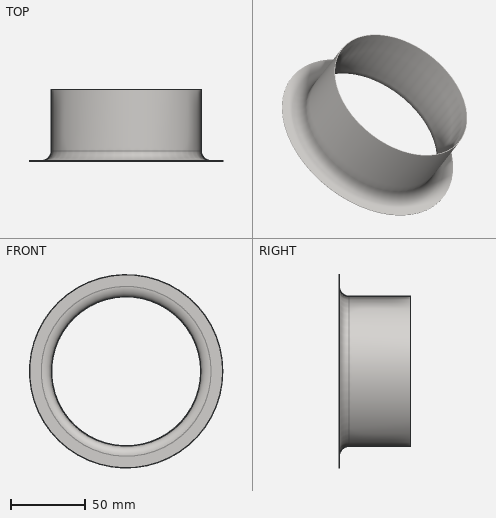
import cadquery as cq
import math

flange_diameter = 130.2
bore_diameter = 100.3
tube_diameter = 101.2
length = 48.5
mouth_radius = 7.0

flange_radius = flange_diameter / 2
bore_radius = bore_diameter / 2
tube_radius = tube_diameter / 2
wall = tube_radius - bore_radius
neck_radius = mouth_radius - wall
bend_center_x = bore_radius + mouth_radius
bend_center_y = mouth_radius
diagonal = math.sqrt(0.5)


def bend_midpoint(radius):
    """Middle of the quarter bend, on the side facing the axis and the front."""
    return (bend_center_x - radius * diagonal, bend_center_y - radius * diagonal)


section = (
    cq.Workplane("XY")
    .moveTo(flange_radius, 0)
    .lineTo(bend_center_x, 0)
    .threePointArc(bend_midpoint(mouth_radius), (bore_radius, bend_center_y))
    .lineTo(bore_radius, length)
    .lineTo(tube_radius, length)
    .lineTo(tube_radius, bend_center_y)
    .threePointArc(bend_midpoint(neck_radius), (bend_center_x, wall))
    .lineTo(flange_radius, wall)
    .close()
)

result = section.revolve(360, (0, 0, 0), (0, 1, 0))